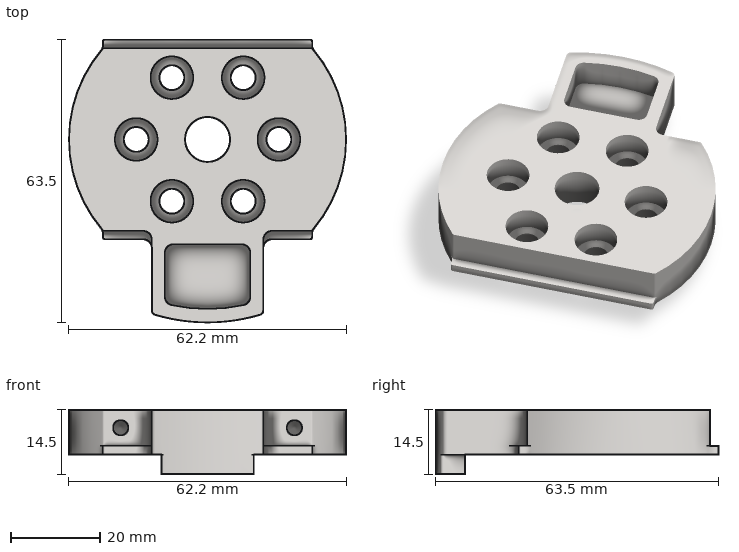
import cadquery as cq
import math

body_radius = 31.1
body_height = 10.05
flat_distance = 20.5
edge_fillet = 0.5

ledge_half_width = 23.5
ledge_distance = 22.4
ledge_height = 2.0
corner_fillet = 2.0

tongue_half_width = 12.5
overall_length = 63.5
tongue_radius = overall_length - ledge_distance
tongue_fillet = 1.0

foot_half_angle = 14.8
foot_height = 4.4
foot_back_y = -34.4

pocket_half_width = 9.6
pocket_back_y = -23.5
pocket_radius = 38.05
pocket_depth = 7.0
pocket_fillet = 2.0

center_hole_diameter = 10.05
bolt_count = 6
bolt_circle_radius = 16.0
bolt_diameter = 5.5
counterbore_diameter = 9.6
counterbore_depth = 5.5

side_hole_x = 19.5
side_hole_z = 6.05
side_hole_diameter = 3.4
side_hole_depth = 8.0
drill_tip_angle = 118.0

select_reach = 0.05


def arc_ended_prism(end_half_width, back_half_width, back_y, end_radius, bottom_z, height):
    """Prism with a flat back, straight sides and a -Y end that is an arc about the Z axis."""
    corner_y = -math.sqrt(end_radius**2 - end_half_width**2)
    return (
        cq.Workplane("XY", origin=(0, 0, bottom_z))
        .moveTo(-back_half_width, back_y)
        .lineTo(-end_half_width, corner_y)
        .threePointArc((0, -end_radius), (end_half_width, corner_y))
        .lineTo(back_half_width, back_y)
        .close()
        .extrude(height)
    )


def slab(half_width, half_depth, height):
    """Block centred on the Z axis, standing on the XY plane."""
    return cq.Workplane("XY").box(2 * half_width, 2 * half_depth, height, centered=(True, True, False))


def fillet_at(solid, x, y, radius):
    """Round the vertical edges at (x, y) and at its mirror image (-x, y)."""
    for side in (-1, 1):
        near_edge = cq.selectors.BoxSelector(
            (side * x - select_reach, y - select_reach, -foot_height - select_reach),
            (side * x + select_reach, y + select_reach, body_height + select_reach),
            boundingbox=False,
        )
        solid = solid.edges("|Z").edges(near_edge).fillet(radius)
    return solid


def plan_layer(height):
    """Body disc cut to its two flats, joined with the tongue."""
    disc = cq.Workplane("XY").circle(body_radius).extrude(height)
    disc = disc.intersect(slab(body_radius, flat_distance, height))
    tongue = arc_ended_prism(tongue_half_width, tongue_half_width, 0, tongue_radius, 0, height)
    tongue_corner_y = -math.sqrt(tongue_radius**2 - tongue_half_width**2)
    return disc.union(fillet_at(tongue, tongue_half_width, tongue_corner_y, tongue_fillet))


def make_body():
    """Full-height body and tongue with rounded vertical edges."""
    body = plan_layer(body_height)
    flat_end_x = math.sqrt(body_radius**2 - flat_distance**2)
    body = fillet_at(body, flat_end_x, flat_distance, edge_fillet)
    body = fillet_at(body, flat_end_x, -flat_distance, edge_fillet)
    return fillet_at(body, tongue_half_width, -flat_distance, corner_fillet)


def make_ledges():
    """Low layer that widens the body by a ledge along each flat."""
    ledges = plan_layer(ledge_height)
    ledges = ledges.union(slab(ledge_half_width, ledge_distance, ledge_height))
    ledge_root_y = math.sqrt(body_radius**2 - ledge_half_width**2)
    for side in (-1, 1):
        ledges = fillet_at(ledges, ledge_half_width, side * ledge_root_y, corner_fillet)
        ledges = fillet_at(ledges, ledge_half_width, side * ledge_distance, edge_fillet)
    return fillet_at(ledges, tongue_half_width, -ledge_distance, corner_fillet)


def make_foot():
    """Foot whose sides lie on radial lines through the Z axis."""
    angle = math.radians(foot_half_angle)
    end_half_width = tongue_radius * math.sin(angle)
    back_half_width = -foot_back_y * math.tan(angle)
    foot = arc_ended_prism(
        end_half_width, back_half_width, foot_back_y, tongue_radius, -foot_height, foot_height
    )
    return foot.edges("|Z").fillet(edge_fillet)


def make_pocket():
    """Volume removed from the top of the tongue."""
    floor_z = body_height - pocket_depth
    pocket = arc_ended_prism(
        pocket_half_width, pocket_half_width, pocket_back_y, pocket_radius, floor_z, pocket_depth
    )
    return pocket.edges("|Z").fillet(pocket_fillet)


def make_side_hole(x):
    """Drilled hole with a conical tip, running from the -Y flat toward +Y."""
    radius = side_hole_diameter / 2
    tip_length = radius / math.tan(math.radians(drill_tip_angle / 2))
    return (
        cq.Workplane("XY", origin=(x, -flat_distance, side_hole_z))
        .lineTo(radius, 0)
        .lineTo(radius, side_hole_depth)
        .lineTo(0, side_hole_depth + tip_length)
        .close()
        .revolve(360, (0, 0), (0, 1))
    )


result = make_body().union(make_ledges()).union(make_foot()).cut(make_pocket())

top_plane = cq.Workplane("XY", origin=(0, 0, body_height))
result = result.cut(top_plane.circle(center_hole_diameter / 2).extrude(-body_height))

bolt_points = top_plane.polarArray(bolt_circle_radius, 0, 360, bolt_count)
result = result.cut(bolt_points.circle(bolt_diameter / 2).extrude(-body_height))
result = result.cut(bolt_points.circle(counterbore_diameter / 2).extrude(-counterbore_depth))

for x in (-side_hole_x, side_hole_x):
    result = result.cut(make_side_hole(x))